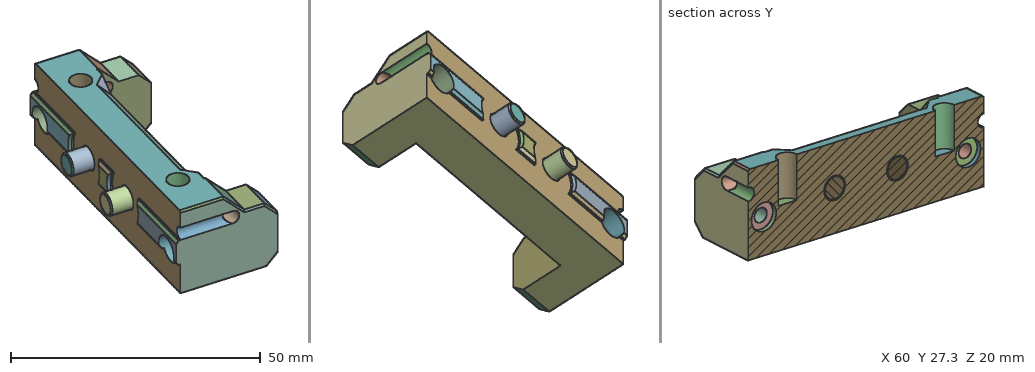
import cadquery as cq
import math

LENGTH = 60.0
HEIGHT = 20.0
DEPTH = 22.3
HALF_LENGTH = LENGTH / 2
MID_HEIGHT = HEIGHT / 2
SIDES = (-1, 1)

RIDGE_DEPTH = 10.0
SHOULDER_DROP = 4.8
ARM_TOP_CHAMFER = 2.9
ARM_BOTTOM_CHAMFER = 2.65
END_EDGE_CHAMFER = 0.4

ARM_WIDTH = 8.0
WEB_THICKNESS = 9.8

RELIEF_DEPTH = 2.7
RELIEF_FRONT_HALF_LENGTH = 17.1

RAIL_HEIGHT = 6.0
RAIL_PROJECTION = 1.0
RAIL_CHAMFER_DEPTH = 0.6
RAIL_SHOULDER_Y = RAIL_CHAMFER_DEPTH - RAIL_PROJECTION
RAIL_CHAMFER_HEIGHT = 0.7
RAIL_GAP_DIAMETER = 12.0
RAIL_GAP_CHAMFER = 0.4

SCREW_X = 26.0
SCREW_Z = 8.5
SCREW_DIAMETER = 3.2
SCREW_HEAD_DIAMETER = 6.2
SCREW_HEAD_SEAT_Y = 6.0

TOP_HOLE_X = 20.0
TOP_HOLE_Y = 5.0
TOP_HOLE_DIAMETER = 4.7
TOP_HOLE_DEPTH = 10.0

CROSS_DIAMETER = 3.0
CROSS_Y = 12.0
CROSS_Z = MID_HEIGHT + RAIL_HEIGHT / 2 + CROSS_DIAMETER / 2

PIN_X = 8.0
PIN_DIAMETER = 5.0
PIN_HOLE_DIAMETER = 5.3
PIN_PROJECTION = 5.0
PIN_INSERTION = 5.0
PIN_CHAMFER = 0.3


def cylinder_along_y(x, z, diameter, y_start, y_end):
    axis = cq.Vector(0, 1, 0)
    start = cq.Vector(x, y_start, z)
    return cq.Workplane(cq.Solid.makeCylinder(diameter / 2, y_end - y_start, start, axis))


def make_block():
    """Full-length block with the end profile, its upper end edges chamfered."""
    arm_top = HEIGHT - SHOULDER_DROP
    profile = [
        (0, 0),
        (DEPTH - ARM_BOTTOM_CHAMFER, 0),
        (DEPTH, ARM_BOTTOM_CHAMFER),
        (DEPTH, arm_top - ARM_TOP_CHAMFER),
        (DEPTH - ARM_TOP_CHAMFER, arm_top),
        (RIDGE_DEPTH + SHOULDER_DROP, arm_top),
        (RIDGE_DEPTH, HEIGHT),
        (0, HEIGHT),
    ]
    block = cq.Workplane("YZ").polyline(profile).close().extrude(HALF_LENGTH, both=True)
    upper_half = cq.selectors.BoxSelector(
        (-LENGTH, -DEPTH, MID_HEIGHT), (LENGTH, 2 * DEPTH, 2 * HEIGHT))
    upper_end_edges = block.edges("not(|X or |Z)").edges(upper_half)
    return upper_end_edges.chamfer(END_EDGE_CHAMFER)


def make_arm_opening():
    opening_length = LENGTH - 2 * ARM_WIDTH
    opening_base = cq.Workplane("XY", origin=(0, WEB_THICKNESS, 0))
    return opening_base.box(opening_length, DEPTH, HEIGHT, centered=(True, False, False))


def relief_outline(front_half_length, front_y, back_y):
    """Trapezoid whose ends spread at 45 degrees toward the back."""
    back_half_length = front_half_length + back_y - front_y
    return [
        (-front_half_length, front_y),
        (front_half_length, front_y),
        (back_half_length, back_y),
        (-back_half_length, back_y),
    ]


def make_web_relief():
    """Pocket in the top rear edge of the web, its front and end walls all sloping at 45 degrees."""
    back_y = WEB_THICKNESS + RELIEF_DEPTH
    half_corner_turn = math.radians(45) / 2
    end_inset = RELIEF_DEPTH * math.tan(half_corner_turn)
    top = relief_outline(RELIEF_FRONT_HALF_LENGTH, WEB_THICKNESS - RELIEF_DEPTH, back_y)
    bottom = relief_outline(RELIEF_FRONT_HALF_LENGTH - end_inset, WEB_THICKNESS, back_y)
    return (
        cq.Workplane("XY", origin=(0, 0, HEIGHT))
        .polyline(top).close()
        .workplane(offset=-RELIEF_DEPTH)
        .polyline(bottom).close()
        .loft(ruled=True)
    )


def make_rail():
    """Full-length rail with its upper and lower front edges chamfered."""
    half_height = RAIL_HEIGHT / 2
    profile = [
        (0, -half_height),
        (0, half_height),
        (RAIL_SHOULDER_Y, half_height),
        (-RAIL_PROJECTION, half_height - RAIL_CHAMFER_HEIGHT),
        (-RAIL_PROJECTION, RAIL_CHAMFER_HEIGHT - half_height),
        (RAIL_SHOULDER_Y, -half_height),
    ]
    rail = cq.Workplane("YZ", origin=(0, 0, MID_HEIGHT))
    return rail.polyline(profile).close().extrude(HALF_LENGTH, both=True)


def make_rail_gap(x):
    """Round gap in the rail, widening like a cone at the front."""
    radius = RAIL_GAP_DIAMETER / 2
    section = [
        (0, 0),
        (radius, 0),
        (radius, RAIL_SHOULDER_Y),
        (radius + RAIL_GAP_CHAMFER, -RAIL_PROJECTION),
        (0, -RAIL_PROJECTION),
    ]
    gap = cq.Workplane("XY", origin=(x, 0, MID_HEIGHT)).polyline(section).close()
    return gap.revolve(360, (0, 0, 0), (0, 1, 0))


def make_screw_hole(x):
    hole = cylinder_along_y(x, SCREW_Z, SCREW_DIAMETER, -RAIL_PROJECTION, DEPTH)
    head = cylinder_along_y(x, SCREW_Z, SCREW_HEAD_DIAMETER, -RAIL_PROJECTION, SCREW_HEAD_SEAT_Y)
    return hole.union(head)


def make_top_hole(x):
    mouth = cq.Workplane("XY", origin=(x, TOP_HOLE_Y, HEIGHT))
    return mouth.circle(TOP_HOLE_DIAMETER / 2).extrude(-TOP_HOLE_DEPTH)


def make_cross_hole():
    axis_point = cq.Workplane("YZ", origin=(0, CROSS_Y, CROSS_Z))
    return axis_point.circle(CROSS_DIAMETER / 2).extrude(HALF_LENGTH, both=True)


def make_end_groove(x):
    return cylinder_along_y(x, CROSS_Z, CROSS_DIAMETER, 0, CROSS_Y)


def make_pin_hole(x):
    return cylinder_along_y(x, MID_HEIGHT, PIN_HOLE_DIAMETER, 0, PIN_INSERTION)


def make_housing():
    rail = make_rail().cut(make_rail_gap(-PIN_X)).cut(make_rail_gap(PIN_X))
    housing = make_block().cut(make_arm_opening()).cut(make_web_relief())
    housing = housing.union(rail).cut(make_cross_hole())
    for side in SIDES:
        housing = housing.cut(make_screw_hole(side * SCREW_X))
        housing = housing.cut(make_top_hole(side * TOP_HOLE_X))
        housing = housing.cut(make_end_groove(side * HALF_LENGTH))
        housing = housing.cut(make_pin_hole(side * PIN_X))
    return housing


def make_pin(x):
    pin = cylinder_along_y(x, MID_HEIGHT, PIN_DIAMETER, -PIN_PROJECTION, PIN_INSERTION)
    return pin.faces("<Y").chamfer(PIN_CHAMFER)


housing = make_housing()
pins = [make_pin(side * PIN_X) for side in SIDES]

result = cq.Compound.makeCompound([housing.solids().val(), *[pin.solids().val() for pin in pins]])